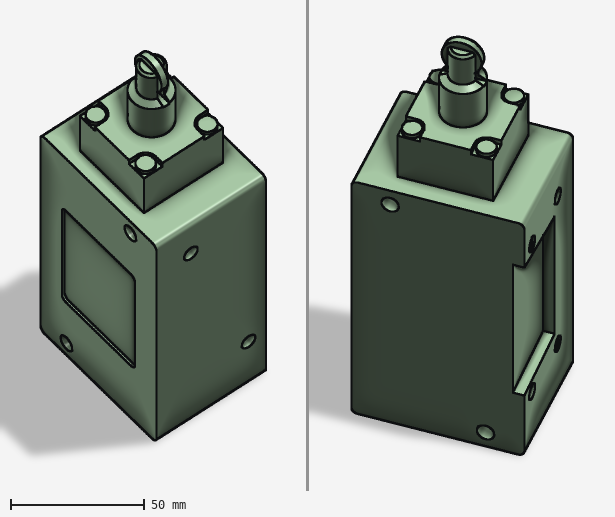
import cadquery as cq
import math


total_height = 179.07
conduit_boss_height = 0.25

body_width = 69.09
body_depth = 52.83
body_height = 119.2
body_edge_radius = 2.54
body_back_y = 27.25
body_front_y = body_back_y - body_depth
body_side_x = body_width / 2

conduit_boss_diameter = 21.6

label_width = 43.6
label_height = 55.6
label_corner_radius = 2.5
label_depth = 1.3

front_hole_diameter = 6.9
front_hole_x = 19.05
front_hole_end_distance = 7.15

side_hole_diameter = 6.5
side_hole_rear_y = body_back_y - 8.4
side_hole_front_y = side_hole_rear_y - 27.8
side_hole_upper_z = body_height - 17.35
side_hole_lower_z = side_hole_upper_z - 76.0
blind_hole_diameter = 5.1
blind_hole_depth = 15.0
blind_hole_chamfer = (side_hole_diameter - blind_hole_diameter) / 2

side_recess_depth = 4.6
side_recess_length = 32.8
side_recess_top_z = body_height - 22.1
side_recess_bottom_z = side_recess_top_z - 65.9
side_recess_taper = 2.8

head_size = 38.1
head_height = 23.2
head_top_z = body_height + head_height

screw_offset = head_size / 2 - 4.2
screw_head_diameter = 7.7
screw_notch_radius = 4.7
screw_notch_depth = 2.15
screw_head_recess = 0.4

plunger_radius = 9.0
plunger_height = 17.2
shoulder_height = 1.75
stem_radius = 5.75
stem_tip_radius = 4.6
stem_tip_height = 1.1

roller_diameter = 15.9
roller_width = 3.175
roller_top_z = total_height - conduit_boss_height
roller_above_stem = 3.35
slot_floor_z = roller_top_z - 19.6
stem_top_z = roller_top_z - roller_above_stem


def cylinder_along_x(diameter, y, z, start_x, length):
    plane = cq.Plane(origin=(start_x, y, z), xDir=(0, 1, 0), normal=(1, 0, 0))
    return cq.Workplane(plane).circle(diameter / 2).extrude(length)


def cylinder_along_y(diameter, x, z, start_y, length):
    plane = cq.Plane(origin=(x, start_y, z), xDir=(-1, 0, 0), normal=(0, 1, 0))
    return cq.Workplane(plane).circle(diameter / 2).extrude(length)


def make_housing():
    housing = (
        cq.Workplane("XY")
        .box(body_width, body_depth, body_height, centered=(True, False, False))
        .translate((0, body_front_y, 0))
        .edges("|Y")
        .fillet(body_edge_radius)
    )
    boss = (
        cq.Workplane("XY")
        .circle(conduit_boss_diameter / 2)
        .extrude(-conduit_boss_height)
    )
    return housing.union(boss)


def make_label_recess():
    return (
        cq.Workplane("XY")
        .box(label_width, label_depth, label_height, centered=(True, False, True))
        .edges("|Y")
        .fillet(label_corner_radius)
        .translate((0, body_front_y, body_height / 2))
    )


def make_front_holes():
    upper_z = body_height - front_hole_end_distance
    upper = cylinder_along_y(front_hole_diameter, front_hole_x, upper_z, body_front_y, body_depth)
    lower = cylinder_along_y(
        front_hole_diameter, -front_hole_x, front_hole_end_distance, body_front_y, body_depth
    )
    return upper.union(lower)


def make_blind_hole(y, z):
    """Blind hole entering the -X side, with a chamfered mouth."""
    profile = [
        (0, 0),
        (side_hole_diameter / 2, 0),
        (blind_hole_diameter / 2, blind_hole_chamfer),
        (blind_hole_diameter / 2, blind_hole_depth),
        (0, blind_hole_depth),
    ]
    plane = cq.Plane(origin=(-body_side_x, y, z), xDir=(0, 1, 0), normal=(0, 0, -1))
    return cq.Workplane(plane).polyline(profile).close().revolve(360, (0, 0), (0, 1))


def make_side_holes():
    through_places = [
        (side_hole_front_y, side_hole_upper_z),
        (side_hole_rear_y, side_hole_lower_z),
    ]
    blind_places = [
        (side_hole_rear_y, side_hole_upper_z),
        (side_hole_front_y, side_hole_lower_z),
    ]
    holes = cq.Workplane("XY")
    for y, z in through_places:
        holes = holes.add(cylinder_along_x(side_hole_diameter, y, z, -body_side_x, body_width))
    for y, z in blind_places:
        holes = holes.add(make_blind_hole(y, z))
    return holes.combine()


def make_side_recess():
    inner_y = body_back_y - side_recess_length
    outline = [
        (body_back_y, side_recess_top_z),
        (inner_y, side_recess_top_z - side_recess_taper),
        (inner_y, side_recess_bottom_z + side_recess_taper),
        (body_back_y, side_recess_bottom_z),
    ]
    return (
        cq.Workplane("YZ", origin=(-body_side_x, 0, 0))
        .polyline(outline)
        .close()
        .extrude(side_recess_depth)
    )


def make_screw_notch():
    """Notch for the +X +Y corner: square outside, round on the inner corner."""
    inner = screw_offset - screw_notch_radius
    outer = head_size / 2
    arc_middle = screw_offset - screw_notch_radius * math.sqrt(0.5)
    return (
        cq.Workplane("XY", origin=(0, 0, head_top_z))
        .moveTo(outer, outer)
        .lineTo(inner, outer)
        .lineTo(inner, screw_offset)
        .threePointArc((arc_middle, arc_middle), (screw_offset, inner))
        .lineTo(outer, inner)
        .close()
        .extrude(-screw_notch_depth)
    )


def make_head():
    head = (
        cq.Workplane("XY", origin=(0, 0, body_height))
        .rect(head_size, head_size)
        .extrude(head_height)
    )
    notch = make_screw_notch()
    screw = (
        cq.Workplane("XY", origin=(screw_offset, screw_offset, head_top_z - screw_notch_depth))
        .circle(screw_head_diameter / 2)
        .extrude(screw_notch_depth - screw_head_recess)
    )
    for angle in (0, 90, 180, 270):
        head = head.cut(notch.rotate((0, 0, 0), (0, 0, 1), angle))
        head = head.union(screw.rotate((0, 0, 0), (0, 0, 1), angle))
    return head


def make_plunger():
    shoulder_z = head_top_z + plunger_height
    profile = [
        (0, head_top_z),
        (plunger_radius, head_top_z),
        (plunger_radius, shoulder_z),
        (stem_radius, shoulder_z + shoulder_height),
        (stem_radius, stem_top_z - stem_tip_height),
        (stem_tip_radius, stem_top_z),
        (0, stem_top_z),
    ]
    plunger = cq.Workplane("XZ").polyline(profile).close().revolve(360, (0, 0), (0, 1))
    slot = cq.Workplane("XY", origin=(0, 0, slot_floor_z)).box(
        2 * plunger_radius, roller_width, roller_top_z - slot_floor_z, centered=(True, True, False)
    )
    roller_z = roller_top_z - roller_diameter / 2
    roller = cylinder_along_y(roller_diameter, 0, roller_z, -roller_width / 2, roller_width)
    return plunger.cut(slot).union(roller)


result = (
    make_housing()
    .cut(make_label_recess())
    .cut(make_front_holes())
    .cut(make_side_holes())
    .cut(make_side_recess())
    .union(make_head())
    .union(make_plunger())
)